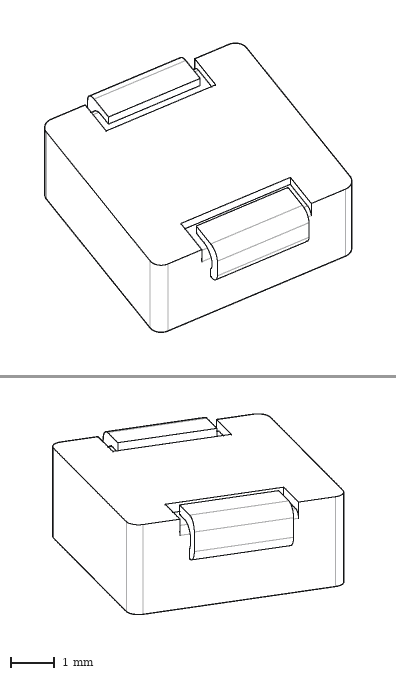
import cadquery as cq
import math

TOTAL_LENGTH = 5.87
TOTAL_HEIGHT = 2.28

BODY_SIDE = 5.27
BODY_HEIGHT = 2.215
CORNER_RADIUS = 0.3

POCKET_WIDTH = 2.88
POCKET_LENGTH = 0.95
POCKET_DEPTH = 0.23
POCKET_LIP_RADIUS = 0.17

TERMINAL_WIDTH = 2.41
TERMINAL_LENGTH = 0.95
TERMINAL_HEIGHT = 1.08
TERMINAL_THICKNESS = 0.235
INNER_BEND_RADIUS = 0.375

outer_x = -TOTAL_LENGTH / 2
wall_x = -BODY_SIDE / 2
bend_radius = wall_x - outer_x
DIAGONAL = math.sqrt(0.5)


def make_body():
    body = cq.Workplane("XY").box(BODY_SIDE, BODY_SIDE, BODY_HEIGHT, centered=(True, True, False))
    return body.edges("|Z").fillet(CORNER_RADIUS)


def extrude_across(profile, width):
    """Extrude a closed XZ profile symmetrically about the XZ plane."""
    return profile.close().extrude(width / 2, both=True)


def make_pocket_cutter():
    """Left pocket, with a floor that rounds down into the side wall."""
    floor_z = BODY_HEIGHT - POCKET_DEPTH
    lip_x = wall_x + POCKET_LIP_RADIUS
    lip_z = floor_z - POCKET_LIP_RADIUS
    back_x = wall_x + POCKET_LENGTH
    lip_middle = (
        lip_x - POCKET_LIP_RADIUS * DIAGONAL,
        lip_z + POCKET_LIP_RADIUS * DIAGONAL,
    )
    profile = (
        cq.Workplane("XZ")
        .moveTo(wall_x, lip_z)
        .threePointArc(lip_middle, (lip_x, floor_z))
        .lineTo(back_x, floor_z)
        .lineTo(back_x, TOTAL_HEIGHT)
        .lineTo(outer_x, TOTAL_HEIGHT)
        .lineTo(outer_x, lip_z)
    )
    return extrude_across(profile, POCKET_WIDTH)


def make_terminal():
    """Left terminal: a foot over the pocket, bent down to meet the side wall."""
    bottom_z = TOTAL_HEIGHT - TERMINAL_HEIGHT
    foot_x = outer_x + TERMINAL_LENGTH
    foot_z = TOTAL_HEIGHT - TERMINAL_THICKNESS
    bend_offset = bend_radius * DIAGONAL
    upper_bend_z = TOTAL_HEIGHT - bend_radius
    lower_bend_z = bottom_z + bend_radius

    inner_x = outer_x + TERMINAL_THICKNESS
    inner_center_x = inner_x + INNER_BEND_RADIUS
    inner_center_z = foot_z - INNER_BEND_RADIUS
    wall_drop = math.sqrt(INNER_BEND_RADIUS**2 - (inner_center_x - wall_x) ** 2)

    profile = (
        cq.Workplane("XZ")
        .moveTo(foot_x, TOTAL_HEIGHT)
        .lineTo(wall_x, TOTAL_HEIGHT)
        .threePointArc((wall_x - bend_offset, upper_bend_z + bend_offset), (outer_x, upper_bend_z))
        .lineTo(outer_x, lower_bend_z)
        .threePointArc((wall_x - bend_offset, lower_bend_z - bend_offset), (wall_x, bottom_z))
        .lineTo(wall_x, inner_center_z - wall_drop)
        .threePointArc((inner_x, inner_center_z), (inner_center_x, foot_z))
        .lineTo(foot_x, foot_z)
    )
    return extrude_across(profile, TERMINAL_WIDTH)


def on_both_ends(left):
    return left, left.mirror("YZ")


result = make_body()
for pocket in on_both_ends(make_pocket_cutter()):
    result = result.cut(pocket)
for terminal in on_both_ends(make_terminal()):
    result = result.union(terminal)